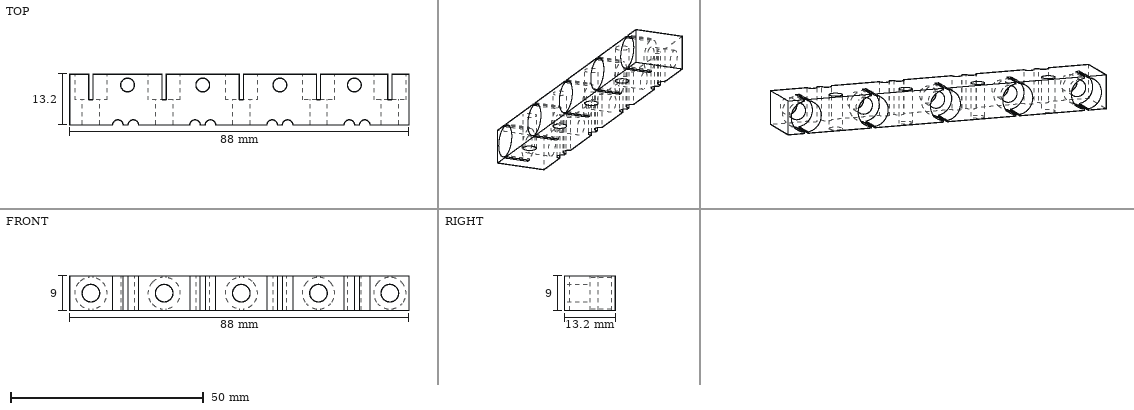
import cadquery as cq

length = 88.0
width = 13.2
height = 9.0

cross_hole_diameter = 4.5
counterbore_diameter = 8.3
counterbore_depth = width / 2
slit_width = 1.0

upright_hole_diameter = 3.5
upright_hole_setback = 2.8

groove_diameter = 2.7
groove_spacing = 4.0

pitch = 20.0
middle_hole_x = 44.5
end_hole_xs = [5.5, 83.0]
cross_hole_xs = [middle_hole_x + step * pitch for step in (-1, 0, 1)] + end_hole_xs
groove_pair_xs = [middle_hole_x + (step + 0.5) * pitch for step in (-2, -1, 0, 1)]
upright_hole_xs = [15.0, 34.5, 54.5, 73.8]


def cross_cylinder(x, diameter, depth):
    """Cutter at mid height, reaching forward from the back face by depth."""
    return (
        cq.Workplane("XZ", origin=(x, width, height / 2))
        .circle(diameter / 2)
        .extrude(depth)
    )


def slit(x):
    """Full-height slit, as deep as the counterbore."""
    return (
        cq.Workplane("XY")
        .center(x, width - counterbore_depth / 2)
        .rect(slit_width, counterbore_depth)
        .extrude(height)
    )


def slitted_hole(x):
    """Through hole with its counterbore and slit."""
    through_hole = cross_cylinder(x, cross_hole_diameter, width)
    counterbore = cross_cylinder(x, counterbore_diameter, counterbore_depth)
    return through_hole.union(counterbore).union(slit(x))


def upright_cylinder(x, y, diameter):
    """Full-height vertical cutter."""
    return cq.Workplane("XY").center(x, y).circle(diameter / 2).extrude(height)


result = cq.Workplane("XY").box(length, width, height, centered=False)

for hole_x in cross_hole_xs:
    result = result.cut(slitted_hole(hole_x))

upright_hole_y = width - upright_hole_setback
for hole_x in upright_hole_xs:
    result = result.cut(upright_cylinder(hole_x, upright_hole_y, upright_hole_diameter))

for pair_x in groove_pair_xs:
    for side in (-1, 1):
        groove_x = pair_x + side * groove_spacing / 2
        result = result.cut(upright_cylinder(groove_x, 0, groove_diameter))